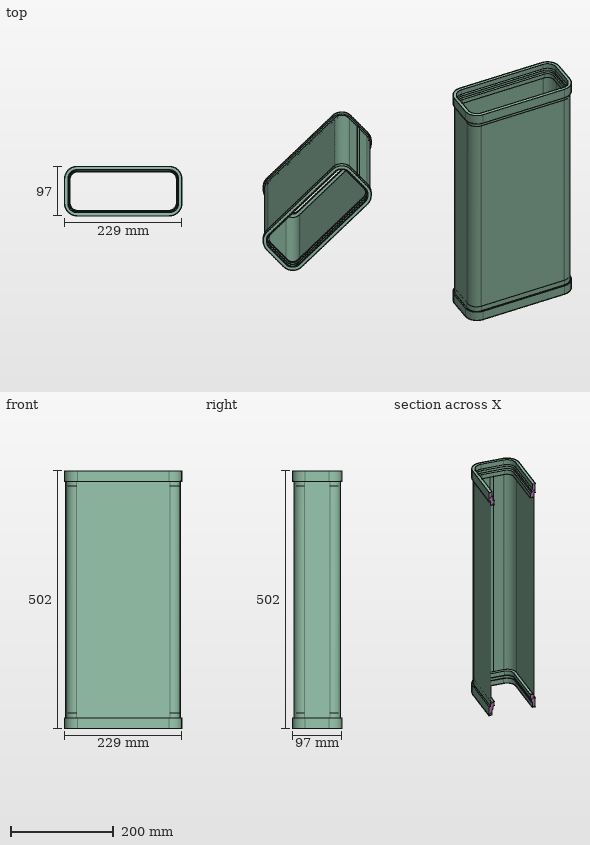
import cadquery as cq

length = 229.0
depth = 97.0
height = 502.0
collar_height = 20.5
collar_corner = 25.0

tube_inset = 3.0
tube_corner = 20.5
tube_wall = 2.0
cavity_inset = tube_inset + tube_wall

mouth_inset = 6.5
bore_inset = 11.0
ledge_width = (bore_inset - mouth_inset) / 2
ledge_slope = 45
ledge_drop = ledge_width
upper_ledge_depth = 11.0
lower_ledge_depth = 18.5
throat_length = 30.0

rib_width = 6.5
rib_height = 1.0


def rounded_block(inset, corner, block_height, bottom):
    """Upright block with rounded vertical edges, inset evenly from the envelope."""
    return (
        cq.Workplane("XY")
        .workplane(offset=bottom)
        .rect(length - 2 * inset, depth - 2 * inset)
        .extrude(block_height)
        .edges("|Z")
        .fillet(corner)
    )


def collar_block(inset, block_height, bottom):
    """Block whose corners are concentric with the collar's outer corners."""
    return rounded_block(inset, collar_corner - inset, block_height, bottom)


def ledge_cutter(inset, ledge_depth):
    """Straight opening down to a ledge, ending in a slope that narrows by the ledge width."""
    ledge_top = height - ledge_depth
    opening = collar_block(inset, ledge_depth, ledge_top)
    floor = opening.faces("<Z").wires().toPending().workplane()
    return floor.extrude(ledge_drop, taper=ledge_slope)


def make_top_collar():
    throat_bottom = height - throat_length
    band = collar_block(0, collar_height, height - collar_height)
    throat = collar_block(tube_inset + tube_wall / 2, throat_length, throat_bottom)
    return (
        band.union(throat)
        .cut(collar_block(bore_inset, throat_length, throat_bottom))
        .cut(ledge_cutter(mouth_inset, upper_ledge_depth))
        .cut(ledge_cutter(mouth_inset + ledge_width, lower_ledge_depth))
    )


def make_tube():
    tube_length = height - 2 * collar_height
    tube = rounded_block(tube_inset, tube_corner, tube_length, collar_height)
    rib = (
        cq.Workplane("XY")
        .workplane(offset=collar_height)
        .center(-length / 2 + tube_inset, 0)
        .rect(2 * rib_height, rib_width)
        .extrude(tube_length)
    )
    cavity = rounded_block(cavity_inset, tube_corner - tube_wall, height, 0)
    return tube.union(rib).cut(cavity)


top_collar = make_top_collar()
bottom_collar = top_collar.mirror("XY", (0, 0, height / 2))
result = make_tube().union(top_collar).union(bottom_collar)